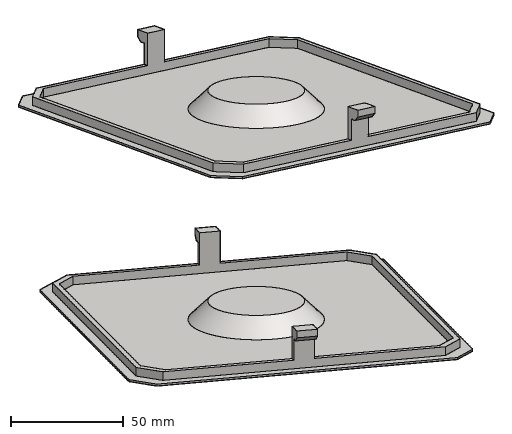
import cadquery as cq

clip_span = 159.5
plate_side = 159.4
total_height = 20.0

plate_thickness = 1.0
plate_corner = 10.0
rim_inset = 4.6
rim_wall = 2.5
rim_top = 5.0
rim_corner = 9.5
cavity_corner = 9.1

boss_top_radius = 43.0 / 2
boss_base_radius = 30.3
boss_top = 9.5

clip_width = 9.5
hook_bottom = 14.7
hook_chamfer = 2.0

rim_side = plate_side - 2 * rim_inset
cavity_side = rim_side - 2 * rim_wall


def octagonal_prism(side, corner, bottom, top):
    """Square prism with its four upright edges chamfered."""
    prism = cq.Workplane("XY").workplane(offset=bottom).rect(side, side).extrude(top - bottom)
    return prism.edges("|Z").chamfer(corner)


def make_rim():
    outer = octagonal_prism(rim_side, rim_corner, 0, rim_top)
    cavity = octagonal_prism(cavity_side, cavity_corner, plate_thickness, rim_top)
    return outer.cut(cavity)


def make_boss():
    """Revolved flat-topped cone standing on the plate."""
    profile = (
        cq.Workplane("XZ")
        .lineTo(boss_base_radius, 0)
        .lineTo(boss_base_radius, plate_thickness)
        .lineTo(boss_top_radius, boss_top)
        .lineTo(0, boss_top)
        .close()
    )
    return profile.revolve(360, (0, 0, 0), (0, 1, 0))


def make_clip():
    """Upright tongue on the +X rim wall with an outward hook."""
    tongue_inner = cavity_side / 2
    tongue_outer = rim_side / 2
    hook_tip = clip_span / 2
    outline = [
        (tongue_inner, 0),
        (tongue_outer, 0),
        (tongue_outer, hook_bottom),
        (hook_tip - hook_chamfer, hook_bottom),
        (hook_tip, hook_bottom + hook_chamfer),
        (hook_tip, total_height),
        (tongue_inner, total_height),
    ]
    return cq.Workplane("XZ").polyline(outline).close().extrude(clip_width / 2, both=True)


plate = octagonal_prism(plate_side, plate_corner, 0, plate_thickness)
right_clip = make_clip()
left_clip = right_clip.mirror("YZ")
result = plate.union(make_rim()).union(make_boss()).union(right_clip).union(left_clip)